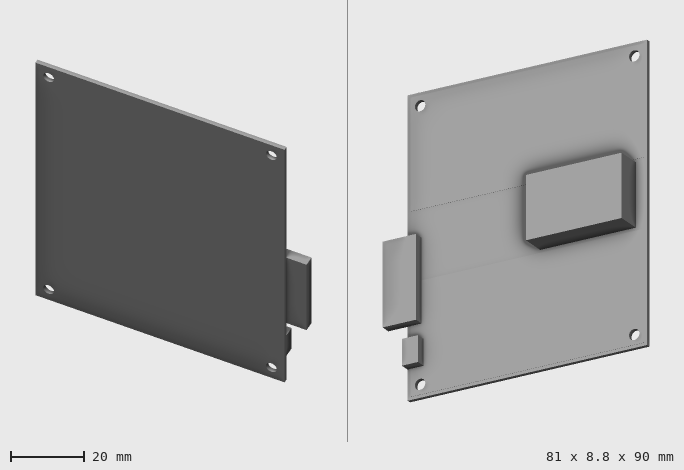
import cadquery as cq

board_width = 75.0
board_height = 90.0
board_thickness = 1.3

hole_diameter = 3.2
hole_inset = 4.0

block_left = 3.5
block_width = 30.0
block_bottom = 35.4
block_height = 19.3
block_back = 8.8

layer_thickness = 0.1
layer_margin = 0.9

low_component_back = 4.3

connector_left = 70.6
connector_right = 81.0
connector_bottom = 21.8
connector_height = 25.3

small_left = 69.9
small_bottom = 9.2
small_height = 7.9


def box_between(left, right, front, back, bottom, top):
    """Box given by its limits along X, Y and Z."""
    return cq.Workplane("XY").box(right - left, back - front, top - bottom, centered=False).translate(
        (left, front, bottom)
    )


def back_layer(bottom, top):
    """Thin raised layer across the back face, kept clear of the board edges."""
    return box_between(
        layer_margin,
        board_width - layer_margin,
        board_thickness,
        board_thickness + layer_thickness,
        bottom,
        top,
    )


def low_component(left, right, bottom, height):
    """Low component seated on the back face of the board."""
    return box_between(left, right, board_thickness, low_component_back, bottom, bottom + height)


def mounting_holes():
    """Cutters for the four corner holes, running through the board."""
    return (
        cq.Workplane("XZ")
        .center(board_width / 2, board_height / 2)
        .rect(board_width - 2 * hole_inset, board_height - 2 * hole_inset, forConstruction=True)
        .vertices()
        .circle(hole_diameter / 2)
        .extrude(-(board_thickness + layer_thickness))
    )


block_top = block_bottom + block_height

board = box_between(0, board_width, 0, board_thickness, 0, board_height)
lower_layer = back_layer(layer_margin, block_bottom - layer_margin)
upper_layer = back_layer(block_top + layer_margin, board_height - layer_margin)
drilled_board = board.union(lower_layer).union(upper_layer).cut(mounting_holes())

block = box_between(
    block_left, block_left + block_width, board_thickness, block_back, block_bottom, block_top
)
connector = low_component(connector_left, connector_right, connector_bottom, connector_height)
small_component = low_component(small_left, board_width, small_bottom, small_height)

result = drilled_board.union(block).union(connector).union(small_component)